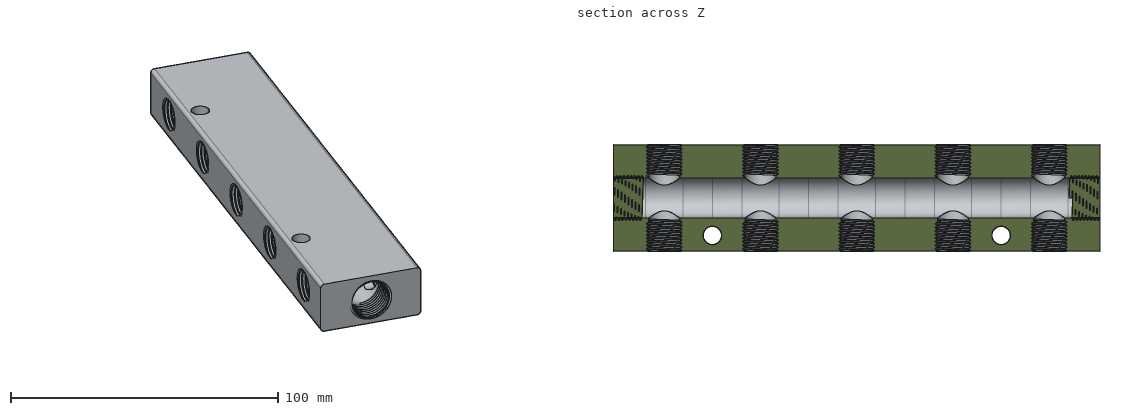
import cadquery as cq

LENGTH = 182.0
WIDTH = 40.0
HEIGHT = 20.0
EDGE_RADIUS = 1.5

INCH = 25.4
THREAD_PITCH = INCH / 19

GROOVE_MOUTH = 0.94 * THREAD_PITCH
GROOVE_FLOOR = 0.12 * THREAD_PITCH

BORE_OVERLAP = 0.05


GALLERY_MINOR = 14.95
GALLERY_MAJOR = 16.662
GALLERY_THREAD_DEPTH = 11.0
GALLERY_THREAD_ANGLE = 0.0

PORT_MINOR = 11.445
PORT_MAJOR = 13.157
PORT_COUNT = 5
PORT_PITCH = 36.0
PORT_THREAD_DEPTH = WIDTH / 2 - GALLERY_MAJOR / 2
PORT_THREAD_ANGLE = 180.0

PORT_SLICE = 14.0
END_SLICE = (LENGTH - (PORT_COUNT - 1) * PORT_PITCH - PORT_SLICE) / 2

MOUNT_DIAMETER = 6.8
MOUNT_EDGE_OFFSET = 6.0


def stock(length):
    """Solid bar with rounded long edges, centred on the origin."""
    bar = cq.Workplane("XY").box(length, WIDTH, HEIGHT)
    return bar.edges("|X").fillet(EDGE_RADIUS)


def bore(plane, diameter, length):
    return cq.Workplane(plane).circle(diameter / 2).extrude(length / 2, both=True)


def thread_groove(minor, major, depth, start_angle):
    """Right-hand helical groove from one pitch above Z = 0 down to the thread depth."""
    inner = minor / 2 - BORE_OVERLAP
    outer = major / 2
    helix = cq.Wire.makeHelix(THREAD_PITCH, depth + THREAD_PITCH, inner)
    profile = (
        cq.Workplane("XZ")
        .moveTo(inner, -GROOVE_MOUTH / 2)
        .lineTo(outer, -GROOVE_FLOOR / 2)
        .lineTo(outer, GROOVE_FLOOR / 2)
        .lineTo(inner, GROOVE_MOUTH / 2)
        .close()
    )
    groove = profile.sweep(cq.Workplane(helix), isFrenet=True)
    return groove.translate((0, 0, -depth)).rotate((0, 0, 0), (0, 0, 1), start_angle)


def at_both_ends(groove, end):
    """The groove placed at Z = end and, turned half round the X axis, at Z = -end."""
    upper = groove.translate((0, 0, end))
    lower = upper.rotate((0, 0, 0), (1, 0, 0), 180)
    return [upper, lower]


def port_slice():
    """Slice of the bar around one cross port; the grooves are cut first, then the bores open them."""
    body = stock(PORT_SLICE)
    groove = thread_groove(PORT_MINOR, PORT_MAJOR, PORT_THREAD_DEPTH, PORT_THREAD_ANGLE)
    for placed in at_both_ends(groove, WIDTH / 2):
        body = body.cut(placed.rotate((0, 0, 0), (1, 0, 0), 90))
    body = body.cut(bore("XZ", PORT_MINOR, WIDTH))
    return body.cut(bore("YZ", GALLERY_MINOR, PORT_SLICE))


def plain_slice():
    """Slice of the bar between two ports, with the gallery bore only."""
    length = PORT_PITCH - PORT_SLICE
    return stock(length).cut(bore("YZ", GALLERY_MINOR, length))


def end_slice():
    """Slice of the bar at its +X end, holding the gallery thread."""
    groove = thread_groove(GALLERY_MINOR, GALLERY_MAJOR, GALLERY_THREAD_DEPTH, GALLERY_THREAD_ANGLE)
    placed = groove.rotate((0, 0, 0), (0, 1, 0), 90).translate((END_SLICE / 2, 0, 0))
    body = stock(END_SLICE).cut(placed)
    return body.cut(bore("YZ", GALLERY_MINOR, END_SLICE))


def positions(count):
    """X positions of a row of features at the port pitch, centred on the bar."""
    return [(index - (count - 1) / 2) * PORT_PITCH for index in range(count)]


def mounting_slice():
    """Plain slice with a vertical mounting hole through it."""
    hole = bore("XY", MOUNT_DIAMETER, HEIGHT)
    return plain_slice().cut(hole.translate((0, -WIDTH / 2 + MOUNT_EDGE_OFFSET, 0)))


def all_slices():
    port = port_slice()
    plain = plain_slice()
    mounting = mounting_slice()
    end = end_slice().translate(((LENGTH - END_SLICE) / 2, 0, 0))
    slices = [end, end.rotate((0, 0, 0), (0, 1, 0), 180)]
    slices += [port.translate((x, 0, 0)) for x in positions(PORT_COUNT)]
    gaps = positions(PORT_COUNT - 1)
    slices += [mounting.translate((x, 0, 0)) for x in (gaps[0], gaps[-1])]
    slices += [plain.translate((x, 0, 0)) for x in gaps[1:-1]]
    return slices


solids = [part.val() for part in all_slices()]
bar = solids[0].fuse(*solids[1:]).clean()
result = cq.Workplane(bar.Solids()[0])